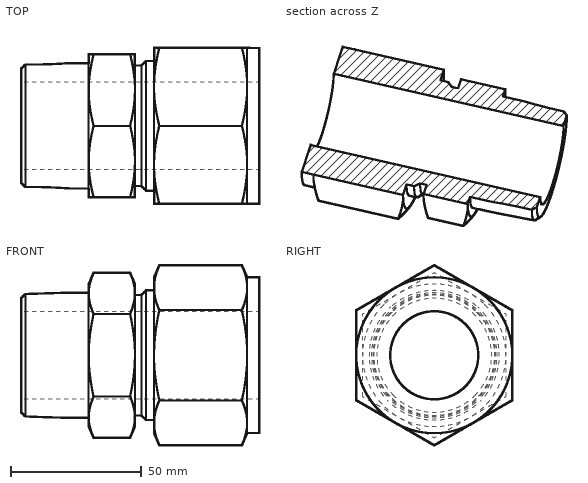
import cadquery as cq
import math

total_length = 91.6
end_chamfer_length = 1.6
taper_end_x = 18.4
body_hex_start_x = 26.0
body_hex_width = 17.75
neck_end_x = 46.2
shoulder_full_x = 48.1
nut_start_x = 51.1
nut_width = 35.8

bore_radius = 16.9
end_face_radius = 22.0
thread_radius = 24.13
neck_radius = 23.2
shoulder_radius = 25.0

taper_on_diameter = 1 / 16
thread_start_radius = thread_radius - (taper_end_x - end_chamfer_length) * taper_on_diameter / 2

body_hex_across_flats = 55.0
nut_across_flats = 60.0
hex_sides = 6
hex_chamfer_angle = 23.5


def revolve_profile(points):
    """Revolve a closed profile of (x, radius) points about the X axis."""
    return cq.Workplane("XZ").polyline(points).close().revolve(360, (0, 0, 0), (1, 0, 0))


def chamfered_hex(start_x, width, across_flats):
    """Hexagonal prism along X whose corners are turned down to a cone at both ends."""
    flat_radius = across_flats / 2
    corner_radius = flat_radius / math.cos(math.pi / hex_sides)
    chamfer_length = (corner_radius - flat_radius) * math.tan(math.radians(hex_chamfer_angle))
    end_x = start_x + width

    prism = (
        cq.Workplane("YZ", origin=(start_x, 0, 0))
        .transformed(rotate=(0, 0, 90))
        .polygon(hex_sides, 2 * corner_radius)
        .extrude(width)
    )
    turned_blank = revolve_profile([
        (start_x, 0),
        (start_x, flat_radius),
        (start_x + chamfer_length, corner_radius),
        (end_x - chamfer_length, corner_radius),
        (end_x, flat_radius),
        (end_x, 0),
    ])
    return prism.intersect(turned_blank)


def turned_body():
    """Tapered thread, neck, shoulder and the round collar behind the nut."""
    collar_radius = nut_across_flats / 2
    nut_end_x = nut_start_x + nut_width
    return revolve_profile([
        (0, 0),
        (0, end_face_radius),
        (end_chamfer_length, thread_start_radius),
        (taper_end_x, thread_radius),
        (body_hex_start_x, thread_radius),
        (body_hex_start_x, neck_radius),
        (neck_end_x, neck_radius),
        (shoulder_full_x, shoulder_radius),
        (nut_end_x, shoulder_radius),
        (nut_end_x, collar_radius),
        (total_length, collar_radius),
        (total_length, 0),
    ])


def through_bore():
    """Plain cylinder that opens the fitting from end to end."""
    return cq.Workplane("YZ").circle(bore_radius).extrude(total_length)


body_hex = chamfered_hex(body_hex_start_x, body_hex_width, body_hex_across_flats)
nut = chamfered_hex(nut_start_x, nut_width, nut_across_flats)
result = turned_body().union(body_hex).union(nut).cut(through_bore())